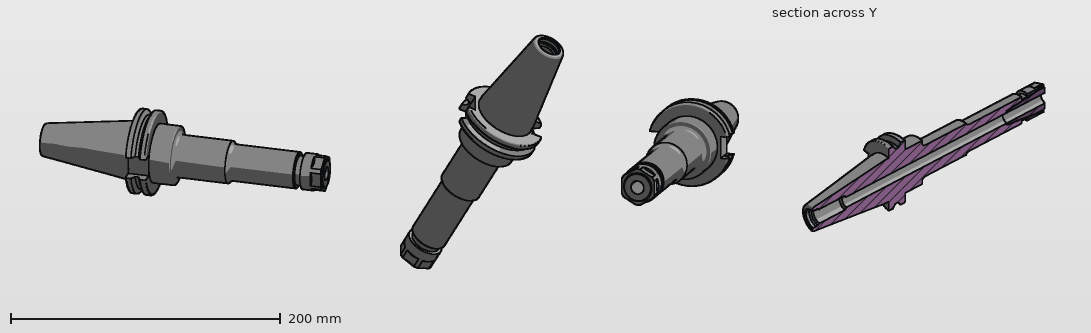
import cadquery as cq
import math

total_length = 218.2
gauge_x = 68.3
flange_x = 71.5
flange_width = 15.7
collar_end_x = 103.5
shank_end_x = 144.3
barrel_end_x = 196.6
nut_x = 201.5
nut_end_x = 217.2
neck_end_x = 211.7

gauge_diameter = 44.5
taper_ratio = 7 / 24
flange_diameter = 63.5
shank_diameter = 32.0
barrel_diameter = 27.5
neck_diameter = 22.3

small_end_fillet = 1.7
flange_fillet = 1.0
collar_fillet = 0.7
barrel_chamfer = 0.7
shank_blend = 2.6
barrel_blend = 4.4

groove_floor_diameter = 55.9
groove_floor_width = 2.6
groove_half_angle = 30
groove_offset = 7.9

slot_width = 16.5
front_slot_floor = 22.5
back_slot_floor = 24.9

mouth_diameter = 18.1
counterbore_diameter = 16.8
counterbore_depth = 3.5
pilot_diameter = 16.4
pilot_end_x = 5.2
thread_diameter = 14.0
thread_end_x = 30.5
bore_diameter = 10.0
drill_tip_half_angle = 59

collet_diameter = 21.8
collet_small_diameter = 13.5
collet_half_angle = 8
collet_bore_diameter = 10.0
collet_face_diameter = 20.5

nut_diameter = barrel_diameter
flat_distance = 12.7
flat_x = 209.3

collet_length = (collet_diameter - collet_small_diameter) / 2 / math.tan(math.radians(collet_half_angle))
collet_x = neck_end_x - collet_length


def cylinder(diameter, start, end):
    return cq.Workplane("YZ").workplane(offset=start).circle(diameter / 2).extrude(end - start)


def cone(start_diameter, end_diameter, start, end):
    profile = [(start, 0), (start, start_diameter / 2), (end, end_diameter / 2), (end, 0)]
    return revolve(cq.Workplane("XY").polyline(profile))


def revolve(outline):
    return outline.close().revolve(360, (0, 0, 0), (1, 0, 0))


def blend_length(radius, step):
    """Axial length of a concave arc that leaves a cylinder tangentially and climbs by step."""
    return math.sqrt(radius**2 - (radius - step) ** 2)


def make_taper():
    small_diameter = gauge_diameter - taper_ratio * gauge_x
    taper = cone(small_diameter, gauge_diameter, 0, gauge_x)
    return taper.faces("<X").edges().fillet(small_end_fillet)


def make_flange():
    flange = cylinder(flange_diameter, flange_x, flange_x + flange_width)
    flange = flange.faces("<X or >X").edges().fillet(flange_fillet)
    return flange.cut(make_groove())


def make_groove():
    centre = flange_x + groove_offset
    floor_radius = groove_floor_diameter / 2
    crest_radius = flange_diameter / 2
    floor_half = groove_floor_width / 2
    crest_half = floor_half + (crest_radius - floor_radius) * math.tan(math.radians(groove_half_angle))
    profile = [
        (centre - crest_half, crest_radius),
        (centre - floor_half, floor_radius),
        (centre + floor_half, floor_radius),
        (centre + crest_half, crest_radius),
    ]
    return revolve(cq.Workplane("XY").polyline(profile))


def make_driving_slots():
    def slot(floor, side):
        depth = flange_diameter / 2
        box = cq.Workplane("XY").box(flange_width, depth, slot_width, centered=(False, True, True))
        return box.translate((flange_x, side * (floor + depth / 2), 0))

    return slot(front_slot_floor, -1).union(slot(back_slot_floor, 1))


def make_blend(x, diameter, radius, step):
    """Concave fillet around a cylinder, rising by step towards the shoulder at x."""
    r = diameter / 2
    length = blend_length(radius, step)
    half_angle = math.asin(length / radius) / 2
    middle = (x + length - radius * math.sin(half_angle), r + radius * (1 - math.cos(half_angle)))
    outline = cq.Workplane("XY").moveTo(x, 0).lineTo(x, r + step)
    outline = outline.threePointArc(middle, (x + length, r)).lineTo(x + length, 0)
    return revolve(outline)


def make_bore():
    mouth_end = (mouth_diameter - counterbore_diameter) / 2
    pilot_cone_end = pilot_end_x + (pilot_diameter - thread_diameter) / 2
    tip_radial_drop = (thread_diameter - bore_diameter) / 2
    tip_end = thread_end_x + tip_radial_drop / math.tan(math.radians(drill_tip_half_angle))

    bore = cylinder(bore_diameter, 0, collet_x)
    bore = bore.union(cone(mouth_diameter, counterbore_diameter, 0, mouth_end))
    bore = bore.union(cylinder(counterbore_diameter, mouth_end, counterbore_depth))
    bore = bore.union(cylinder(pilot_diameter, counterbore_depth, pilot_end_x))
    bore = bore.union(cone(pilot_diameter, thread_diameter, pilot_end_x, pilot_cone_end))
    bore = bore.union(cylinder(thread_diameter, pilot_cone_end, thread_end_x))
    return bore.union(cone(thread_diameter, bore_diameter, thread_end_x, tip_end))


def make_collet_cone():
    return cone(collet_small_diameter, collet_diameter, collet_x, neck_end_x)


def make_holder():
    collar = cylinder(gauge_diameter, gauge_x, collar_end_x).faces(">X").edges().fillet(collar_fillet)
    barrel = cylinder(barrel_diameter, shank_end_x, barrel_end_x).faces(">X").edges().chamfer(barrel_chamfer)
    holder = make_taper().union(collar).union(make_flange())
    holder = holder.union(cylinder(shank_diameter, collar_end_x, shank_end_x))
    holder = holder.union(make_blend(collar_end_x, shank_diameter, shank_blend, shank_blend))
    holder = holder.union(barrel)
    shank_step = (shank_diameter - barrel_diameter) / 2
    holder = holder.union(make_blend(shank_end_x, barrel_diameter, barrel_blend, shank_step))
    holder = holder.union(cylinder(neck_diameter, barrel_end_x, neck_end_x))
    return holder.cut(make_driving_slots()).cut(make_bore()).cut(make_collet_cone())


def make_collet():
    head = cylinder(collet_diameter, neck_end_x, nut_end_x)
    nose = cone(collet_diameter, collet_face_diameter, nut_end_x, total_length)
    collet = make_collet_cone().union(head).union(nose)
    return collet.cut(cylinder(collet_bore_diameter, collet_x, total_length))


def make_nut():
    """Round ring whose front part is a hexagon with its corners turned down to the ring's diameter."""
    ring_chamfer = nut_diameter / 2 - flat_distance
    ring_end = flat_x + ring_chamfer
    ring = cylinder(nut_diameter, nut_x, ring_end).faces(">X").edges().chamfer(ring_chamfer)
    hexagon = cq.Workplane("YZ").workplane(offset=nut_x)
    hexagon = hexagon.polygon(6, 2 * flat_distance, circumscribed=True).extrude(nut_end_x - nut_x)
    front = hexagon.intersect(cylinder(nut_diameter, nut_x, nut_end_x))
    nut = ring.union(front)
    nut = nut.cut(cylinder(neck_diameter, nut_x, neck_end_x))
    return nut.cut(cylinder(collet_diameter, neck_end_x, nut_end_x))


holder = make_holder()
nut = make_nut()
collet = make_collet()

result = cq.Compound.makeCompound([holder.val(), nut.val(), collet.val()])